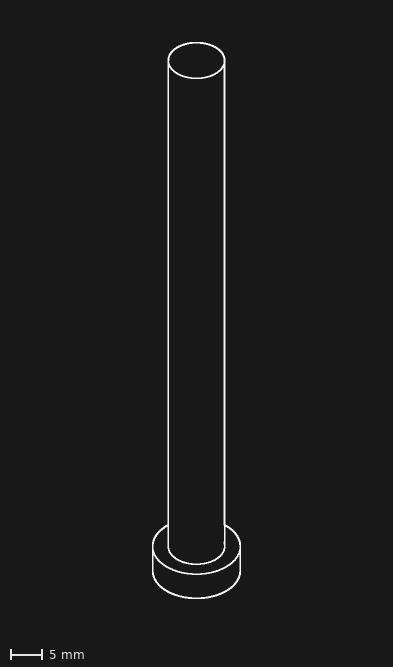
import cadquery as cq

overall_length = 105.0
head_diameter = 14.0
head_height = 5.0
shank_diameter = 9.0
shank_length = overall_length - head_height


def make_head():
    """Flat disc head with its underside on Z = 0."""
    return cq.Workplane("XY").circle(head_diameter / 2).extrude(head_height)


def add_shank(body):
    """Plain cylindrical shank rising from the top of the head."""
    return body.faces(">Z").workplane().circle(shank_diameter / 2).extrude(shank_length)


result = add_shank(make_head())